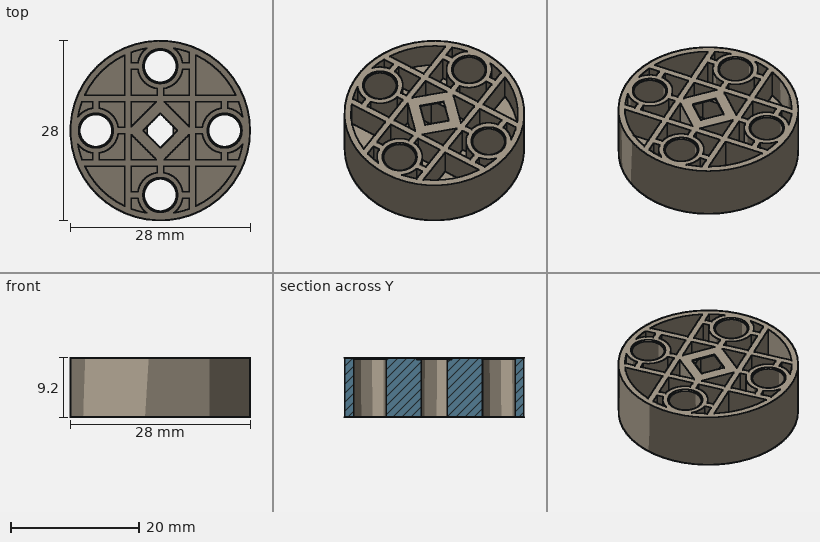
import cadquery as cq

outer_diameter = 28.0
height = 9.2
wall = 1.0
pocket_depth = 5.0
pocket_floor = height - pocket_depth
rim_inner_diameter = outer_diameter - 2 * wall

grid_offset = 5.0

pin_hole_offset = 2 * grid_offset
pin_hole_diameter = 5.0
pin_chamfer = 0.2
boss_diameter = pin_hole_diameter + 2 * wall

hub_side = 7.25
shaft_diameter = 5.5
shaft_flat_width = 3.98
lip_side = 3.78
lip_thickness = 0.2


def diamond(side, bottom, depth):
    """Square prism turned so that its corners lie on the X and Y axes."""
    prism = cq.Workplane("XY").workplane(offset=bottom).rect(side, side).extrude(depth)
    return prism.rotate((0, 0, 0), (0, 0, 1), 45)


def standing_disc(diameter, centers=((0, 0),)):
    """Discs as tall as the pockets, standing on the pocket floor."""
    base = cq.Workplane("XY").workplane(offset=pocket_floor)
    return base.pushPoints(centers).circle(diameter / 2).extrude(pocket_depth)


def ribs_at(offset, length):
    """One rib along X and one along Y, both moved sideways by the offset."""
    base = cq.Workplane("XY").workplane(offset=pocket_floor)
    along_x = base.center(0, offset).rect(length, wall).extrude(pocket_depth)
    along_y = base.center(offset, 0).rect(wall, length).extrude(pocket_depth)
    return along_x.union(along_y)


def ribs():
    """Long grid ribs, a central cross, and short ribs beside each pin hole."""
    lattice = ribs_at(0, outer_diameter)
    for side in (-1, 1):
        lattice = lattice.union(ribs_at(side * grid_offset, outer_diameter))
        lattice = lattice.union(ribs_at(side * pin_hole_offset, 2 * grid_offset))
    return lattice


pin_centers = [
    (pin_hole_offset, 0),
    (0, pin_hole_offset),
    (-pin_hole_offset, 0),
    (0, -pin_hole_offset),
]

bosses = standing_disc(boss_diameter, pin_centers)
hub = diamond(hub_side, pocket_floor, pocket_depth)
pockets = standing_disc(rim_inner_diameter).cut(ribs()).cut(bosses).cut(hub)
body = cq.Workplane("XY").circle(outer_diameter / 2).extrude(height).cut(pockets)

pin_holes = cq.Workplane("XY").pushPoints(pin_centers).circle(pin_hole_diameter / 2).extrude(height)
cone_depth = 2 * pin_chamfer
pin_leads = (
    cq.Workplane("XY")
    .workplane(offset=height)
    .pushPoints(pin_centers)
    .circle(pin_hole_diameter / 2 + pin_chamfer)
    .extrude(-cone_depth, taper=45)
)

bore_depth = height - lip_thickness
shaft_bore = (
    cq.Workplane("XY")
    .circle(shaft_diameter / 2)
    .extrude(bore_depth)
    .intersect(cq.Workplane("XY").rect(shaft_flat_width, shaft_diameter).extrude(bore_depth))
)
lip_opening = diamond(lip_side, bore_depth, lip_thickness)

result = body.cut(pin_holes).cut(pin_leads).cut(shaft_bore).cut(lip_opening)